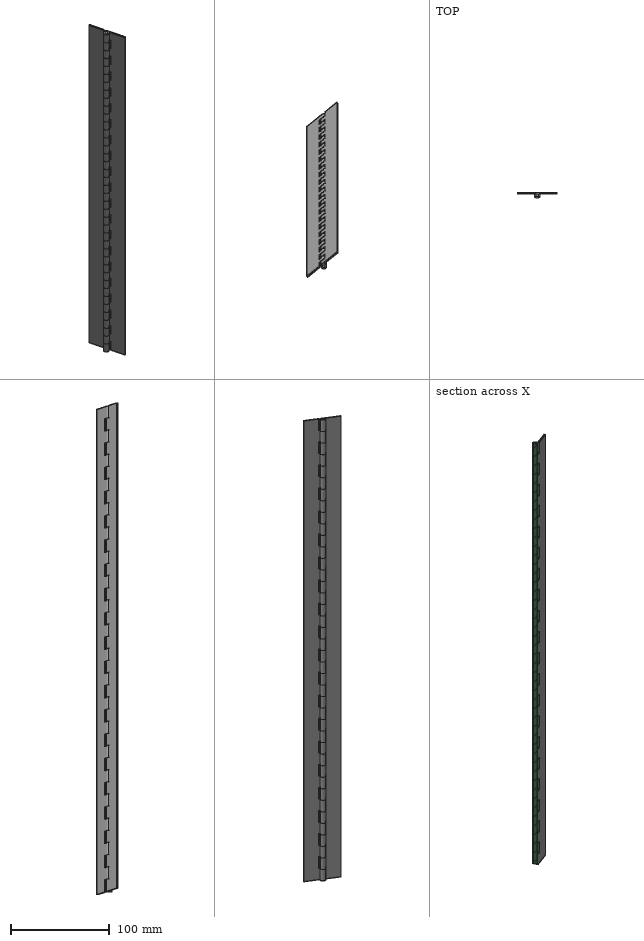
import cadquery as cq

LENGTH = 500.0
WIDTH = 40.0
KNUCKLE_DIAMETER = 6.0
LEAF_THICKNESS = 1.5
KNUCKLE_COUNT = 40
NOTCH_CLEARANCE = 1.0

KNUCKLE_RADIUS = KNUCKLE_DIAMETER / 2
PIN_RADIUS = KNUCKLE_RADIUS - LEAF_THICKNESS
KNUCKLE_LENGTH = LENGTH / KNUCKLE_COUNT
NOTCH_DEPTH = KNUCKLE_RADIUS + NOTCH_CLEARANCE
LEAF_WIDTH = WIDTH / 2

RIGHT = 1
LEFT = -1


def make_plate(side, inner_edge, z_bottom, height):
    """Flat plate from inner_edge to the outer edge, tangent to the back of the knuckles."""
    plate_width = LEAF_WIDTH - inner_edge
    return (
        cq.Workplane("XY")
        .box(plate_width, LEAF_THICKNESS, height, centered=(True, True, False))
        .translate((
            side * (inner_edge + plate_width / 2),
            KNUCKLE_RADIUS - LEAF_THICKNESS / 2,
            z_bottom,
        ))
    )


def make_knuckle(side, z_bottom):
    """One tubular knuckle with the strip that joins it to its leaf."""
    barrel = cq.Workplane("XY", origin=(0, 0, z_bottom)).circle(KNUCKLE_RADIUS).extrude(KNUCKLE_LENGTH)
    bore = cq.Workplane("XY", origin=(0, 0, z_bottom)).circle(PIN_RADIUS).extrude(KNUCKLE_LENGTH)
    strip = make_plate(side, 0, z_bottom, KNUCKLE_LENGTH)
    return barrel.union(strip).cut(bore)


def make_leaf(side, first_knuckle):
    """One leaf: a plate clear of the opposite knuckles plus every second knuckle."""
    leaf = make_plate(side, NOTCH_DEPTH, 0, LENGTH)
    for index in range(first_knuckle, KNUCKLE_COUNT, 2):
        leaf = leaf.union(make_knuckle(side, index * KNUCKLE_LENGTH))
    return leaf


def make_pin():
    """Plain round pin that fills the bores over the full length."""
    return cq.Workplane("XY").circle(PIN_RADIUS).extrude(LENGTH)


left_leaf = make_leaf(LEFT, 0)
right_leaf = make_leaf(RIGHT, 1)
pin = make_pin()

result = cq.Compound.makeCompound([left_leaf.val(), right_leaf.val(), pin.val()])